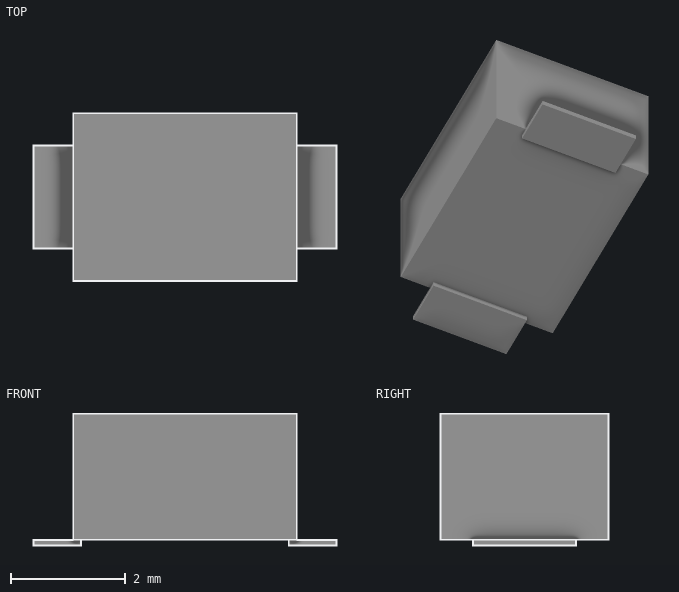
import cadquery as cq

overall_length = 5.29
overall_height = 2.3

lead_length = 0.835
lead_width = 1.8
lead_thickness = 0.1

housing_length = 3.905
housing_width = 2.93
housing_height = overall_height - lead_thickness


def make_housing():
    """Block with its underside on the top faces of the leads."""
    return (
        cq.Workplane("XY")
        .workplane(offset=lead_thickness)
        .rect(housing_length, housing_width)
        .extrude(housing_height)
    )


def make_lead(side):
    """Flat lead whose outer end is at the -X (side = -1) or +X (side = 1) limit."""
    center_x = side * (overall_length - lead_length) / 2
    return (
        cq.Workplane("XY")
        .center(center_x, 0)
        .rect(lead_length, lead_width)
        .extrude(lead_thickness)
    )


housing = make_housing()
leads = [make_lead(side) for side in (-1, 1)]

result = cq.Compound.makeCompound([housing.val(), *[lead.val() for lead in leads]])